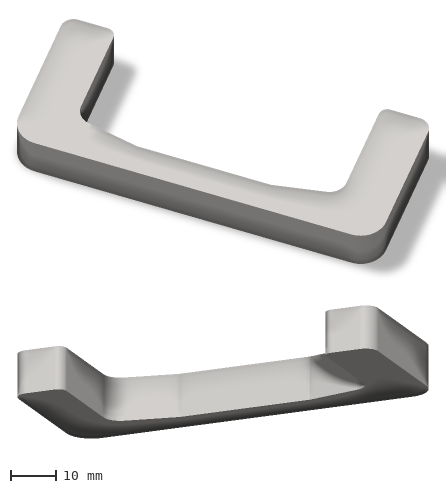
import cadquery as cq

length = 86.5
depth = 36.0
thickness = 10.0

leg_width = 12.0
grip_depth = 7.0
grip_depth_at_leg = 10.0
grip_flat_length = 31.5

grip_corner_radius = 6.0
leg_outer_radius = 3.0
leg_inner_radius = 2.0
inside_corner_radius = 4.0

half_length = length / 2
inner_half = half_length - leg_width
flat_half = grip_flat_length / 2


def round_corners(body, corner, radius):
    """Fillet the vertical edges at an (x, y) corner and its mirror image across the handle."""
    x, y = corner
    for side in (-1, 1):
        edge = cq.selectors.NearestToPointSelector((side * x, y, thickness / 2))
        body = body.edges("|Z").edges(edge).fillet(radius)
    return body


outline = [
    (-half_length, 0),
    (half_length, 0),
    (half_length, depth),
    (inner_half, depth),
    (inner_half, grip_depth_at_leg),
    (flat_half, grip_depth),
    (-flat_half, grip_depth),
    (-inner_half, grip_depth_at_leg),
    (-inner_half, depth),
    (-half_length, depth),
]
handle = cq.Workplane("XY").polyline(outline).close().extrude(thickness)

handle = round_corners(handle, (half_length, 0), grip_corner_radius)
handle = round_corners(handle, (half_length, depth), leg_outer_radius)
handle = round_corners(handle, (inner_half, depth), leg_inner_radius)
handle = round_corners(handle, (inner_half, grip_depth_at_leg), inside_corner_radius)

result = handle